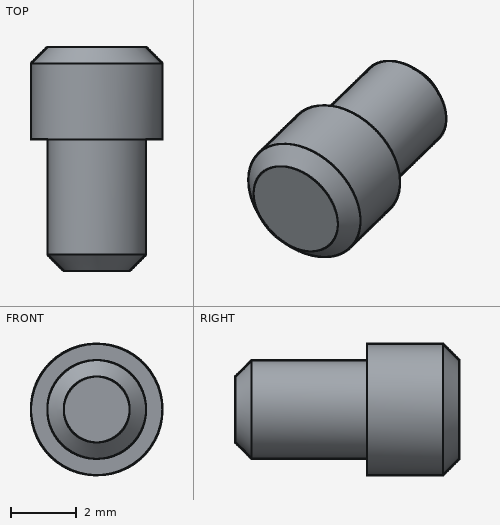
import cadquery as cq

total_length = 6.8
head_length = 2.8
head_diameter = 4.0
shank_diameter = 0.75 * head_diameter
end_chamfer = head_diameter / 8

shank_length = total_length - head_length


def cylinder_along_y(diameter, length, start_y):
    """Cylinder on the Y axis, growing toward +Y from start_y."""
    plane = cq.Plane(origin=(0, start_y, 0), xDir=(1, 0, 0), normal=(0, 1, 0))
    return cq.Workplane(plane).circle(diameter / 2).extrude(length)


shank = cylinder_along_y(shank_diameter, shank_length, -shank_length)
shank = shank.faces("<Y").chamfer(end_chamfer)

head = cylinder_along_y(head_diameter, head_length, 0)
head = head.faces(">Y").chamfer(end_chamfer)

result = shank.union(head)